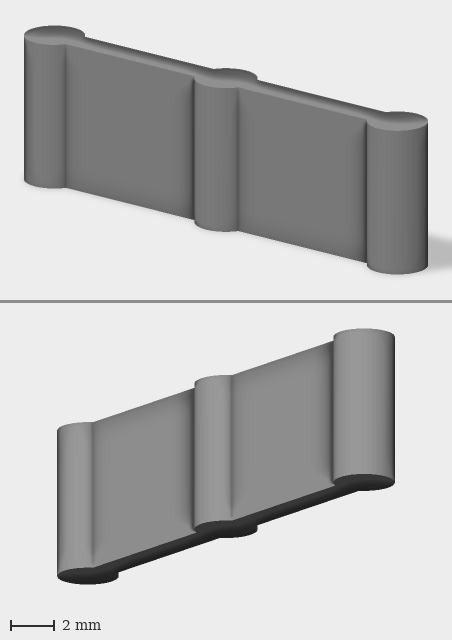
import cadquery as cq

length = 22.8
height = 6.9
end_diameter = 2.8
middle_diameter = 2.9
web_thickness = 1.4

end_offset = (length - end_diameter) / 2


def upright_cylinder(x, diameter):
    """Full-height cylinder standing on the centre line at x."""
    return cq.Workplane("XY").center(x, 0).circle(diameter / 2).extrude(height)


web = cq.Workplane("XY").rect(2 * end_offset, web_thickness).extrude(height)

result = web.union(upright_cylinder(0, middle_diameter))
for x in (-end_offset, end_offset):
    result = result.union(upright_cylinder(x, end_diameter))